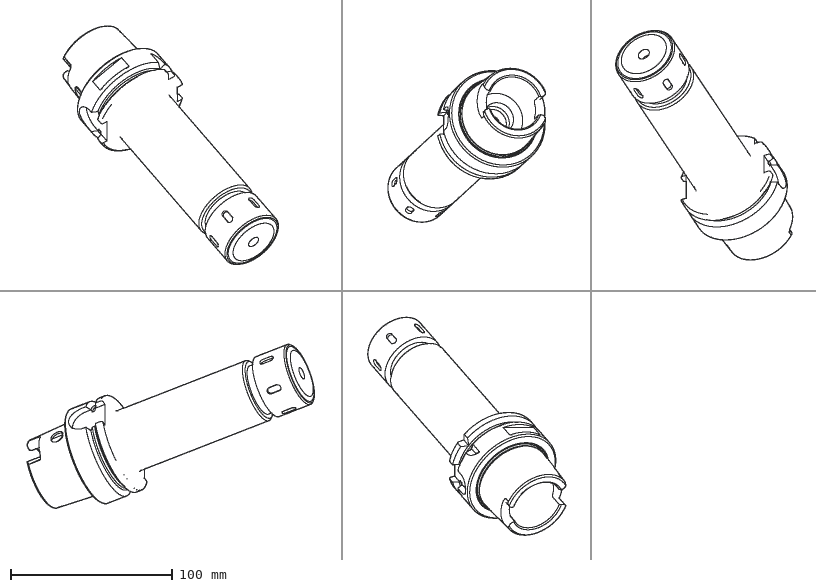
import cadquery as cq
import math

total_length = 182.0

shank_length = 31.8
shank_tip_radius = 22.8
shank_base_radius = 24.4
shank_chamfer = 1.1
relief_start = 30.2
relief_radius = 24.0
relief_step = 0.5
face_groove_radius = 25.8
face_groove_depth = 0.5

flange_end = 57.9
flange_radius = 31.5
flange_chamfer = 1.1
grip_start = 46.5
grip_lip = 0.5
grip_lip_radius = 30.2
grip_floor_start = 49.0
grip_floor_end = 50.6
grip_blend = 1.0
grip_end = 53.1
grip_floor_radius = 27.1

barrel_radius = 20.0
barrel_end = 152.2
barrel_chamfer = 1.3
barrel_fillet = 3.0
neck_radius = 32.2 / 2

bore_radius = 34.0 / 2
bore_entry_chamfer = 1.0
bore_taper_start = 12.2
bore_floor_radius = 32.0 / 2
bore_depth = 31.0
pocket_radius = 19.8 / 2
pocket_floor_radius = 17.0 / 2
pocket_floor_chamfer = 1.5
pocket_depth = 9.1
through_radius = 7.5 / 2

nut_start = 158.0
nut_radius = 20.0
nut_face = 180.9
nut_chamfer = 1.0
nut_cone_radius = 18.2
nut_nose_radius = 30.5 / 2
nut_recess_depth = 18.2
wrench_slot_count = 6
wrench_slot_length = 9.3
wrench_slot_width = 4.0
wrench_slot_center = 167.8
wrench_slot_depth = 1.8

driver_slot_half_width = 6.0
driver_slot_round = 3.3
driver_slot_floor_fillet = 1.5
front_driver_slot_depth = 10.0
rear_driver_slot_depth = 5.5

front_key_radius = 19.0 / 2
front_key_floor = 26.2
rear_key_radius = 14.0 / 2
rear_key_floor = 26.5
key_apex = 35.1
notch_radius = 16.4 / 2
notch_floor = 20.0
notch_bottom = 19.3
notch_apex = 37.3
label_start = 35.3
label_length = 8.4
label_angle = 21.8
label_width = 23.3

side_recess_center = 23.0
side_recess_radius = 8.5 / 2
side_recess_shallow_floor = 23.5
side_recess_deep_floor = 22.2

neck_end = nut_start + nut_recess_depth
edge_margin = 0.2


def holder_blank():
    """Outer shape of the holder, turned about the X axis."""
    fillet_end = flange_end + barrel_fillet
    fillet_top = barrel_radius + barrel_fillet
    relief_end = relief_start + 2 * relief_step
    profile = (
        cq.Workplane("XY")
        .moveTo(0, 0)
        .lineTo(0, shank_tip_radius - shank_chamfer)
        .lineTo(shank_chamfer, shank_tip_radius)
        .lineTo(relief_start, shank_base_radius)
        .lineTo(relief_start + relief_step, relief_radius)
        .lineTo(relief_end, relief_radius)
        .lineTo(shank_length + face_groove_depth, relief_radius + relief_step)
        .lineTo(shank_length + face_groove_depth, face_groove_radius - face_groove_depth)
        .lineTo(shank_length, face_groove_radius)
        .lineTo(shank_length, flange_radius - flange_chamfer)
        .lineTo(shank_length + flange_chamfer, flange_radius)
        .lineTo(grip_start, flange_radius)
        .lineTo(grip_start + grip_lip, grip_lip_radius)
        .lineTo(grip_floor_start - grip_blend, grip_floor_radius + grip_blend)
        .lineTo(grip_floor_start, grip_floor_radius)
        .lineTo(grip_floor_end, grip_floor_radius)
        .lineTo(grip_floor_end + grip_blend, grip_floor_radius + grip_blend)
        .lineTo(grip_end, flange_radius)
        .lineTo(flange_end - flange_chamfer, flange_radius)
        .radiusArc((flange_end, flange_radius - flange_chamfer), flange_chamfer)
        .lineTo(flange_end, fillet_top)
        .radiusArc((fillet_end, barrel_radius), -barrel_fillet)
        .lineTo(barrel_end - barrel_chamfer, barrel_radius)
        .lineTo(barrel_end, barrel_radius - barrel_chamfer)
        .lineTo(barrel_end, neck_radius)
        .lineTo(neck_end, neck_radius)
        .lineTo(neck_end, 0)
        .close()
    )
    return profile.revolve(360, (0, 0, 0), (1, 0, 0))


def holder_bore():
    """Stepped bore of the shank, with the narrow hole that runs on through the neck."""
    pocket_end = bore_depth + pocket_depth
    profile = (
        cq.Workplane("XY")
        .moveTo(0, 0)
        .lineTo(0, bore_radius + bore_entry_chamfer)
        .lineTo(bore_entry_chamfer, bore_radius)
        .lineTo(bore_taper_start, bore_radius)
        .lineTo(bore_depth, bore_floor_radius)
        .lineTo(bore_depth, pocket_radius)
        .lineTo(pocket_end - pocket_floor_chamfer, pocket_radius)
        .lineTo(pocket_end, pocket_floor_radius)
        .lineTo(pocket_end, through_radius)
        .lineTo(neck_end, through_radius)
        .lineTo(neck_end, 0)
        .close()
    )
    return profile.revolve(360, (0, 0, 0), (1, 0, 0))


def driver_slot(side, depth):
    """Slot through the shank wall on one Y side, with walls that flare out to the outer surface."""
    round_center_z = driver_slot_half_width + driver_slot_round
    round_center_y = math.sqrt((shank_tip_radius - driver_slot_round) ** 2 - round_center_z**2)
    flare_scale = shank_tip_radius / (shank_tip_radius - driver_slot_round)
    tangent_y = round_center_y * flare_scale
    tangent_z = round_center_z * flare_scale
    mid_angle = math.atan2(round_center_z, round_center_y) / 2 - math.pi / 4
    mid_y = round_center_y + driver_slot_round * math.cos(mid_angle)
    mid_z = round_center_z + driver_slot_round * math.sin(mid_angle)
    profile = (
        cq.Workplane("YZ")
        .moveTo(0, -driver_slot_half_width)
        .lineTo(side * round_center_y, -driver_slot_half_width)
        .threePointArc((side * mid_y, -mid_z), (side * tangent_y, -tangent_z))
        .lineTo(side * flange_radius, -tangent_z)
        .lineTo(side * flange_radius, tangent_z)
        .lineTo(side * tangent_y, tangent_z)
        .threePointArc((side * mid_y, mid_z), (side * round_center_y, driver_slot_half_width))
        .lineTo(0, driver_slot_half_width)
        .close()
    )
    slot = profile.extrude(depth)
    wall_foot_edges = cq.selectors.BoxSelector(
        (depth - edge_margin, side * edge_margin, -tangent_z),
        (depth + edge_margin, side * (tangent_y - edge_margin), tangent_z),
    )
    return slot.edges(wall_foot_edges).fillet(driver_slot_floor_fillet)


def flange_cutout(side, floor, radius, apex, center_z):
    """U-shaped cutout milled along Y into the flange rim, open toward the barrel."""
    arc_center = apex + radius
    return (
        cq.Workplane("XZ", origin=(0, side * floor, center_z))
        .moveTo(flange_end, -radius)
        .lineTo(arc_center, -radius)
        .threePointArc((apex, 0), (arc_center, radius))
        .lineTo(flange_end, radius)
        .close()
        .extrude(-side * (flange_radius - floor))
    )


def label_flat():
    """Flat across the flange rim, between the shank and the gripper groove."""
    depth_to_flat = math.sqrt(flange_radius**2 - (label_width / 2) ** 2)
    return (
        cq.Workplane("XY")
        .box(label_length, label_width, flange_radius - depth_to_flat, centered=(False, True, False))
        .translate((label_start, 0, depth_to_flat))
        .rotate((0, 0, 0), (1, 0, 0), label_angle)
    )


def shallow_recess():
    """Shallow round recess on the -Y side of the shank."""
    return (
        cq.Workplane("XZ", origin=(side_recess_center, -side_recess_shallow_floor, 0))
        .circle(side_recess_radius)
        .extrude(flange_radius - side_recess_shallow_floor)
    )


def deep_half_recess():
    """Deeper upper half of the side recess, with its straight edge along X."""
    return (
        cq.Workplane("XZ", origin=(side_recess_center, -side_recess_deep_floor, 0))
        .moveTo(-side_recess_radius, 0)
        .threePointArc((0, side_recess_radius), (side_recess_radius, 0))
        .close()
        .extrude(flange_radius - side_recess_deep_floor)
    )


def make_holder():
    """Holder with its shank, flange, barrel and neck in one piece."""
    notch_center_z = notch_bottom + notch_radius
    return (
        holder_blank()
        .cut(holder_bore())
        .cut(driver_slot(-1, front_driver_slot_depth))
        .cut(driver_slot(1, rear_driver_slot_depth))
        .cut(flange_cutout(-1, front_key_floor, front_key_radius, key_apex, 0))
        .cut(flange_cutout(1, rear_key_floor, rear_key_radius, key_apex, 0))
        .cut(flange_cutout(1, notch_floor, notch_radius, notch_apex, notch_center_z))
        .cut(label_flat())
        .cut(deep_half_recess())
        .cut(shallow_recess())
    )


def wrench_slot(angle):
    """Blind rounded slot in the nut rim, at an angle about the X axis."""
    return (
        cq.Workplane("XY", origin=(wrench_slot_center, 0, nut_radius - wrench_slot_depth))
        .slot2D(wrench_slot_length, wrench_slot_width)
        .extrude(2 * wrench_slot_depth)
        .rotate((0, 0, 0), (1, 0, 0), angle)
    )


def make_nut():
    """Clamping nut, a cap over the end of the neck."""
    profile = (
        cq.Workplane("XY")
        .moveTo(nut_start, neck_radius)
        .lineTo(nut_start, nut_radius)
        .lineTo(nut_face - nut_chamfer, nut_radius)
        .lineTo(nut_face, nut_radius - nut_chamfer)
        .lineTo(nut_face, nut_cone_radius)
        .lineTo(total_length, nut_nose_radius)
        .lineTo(total_length, through_radius)
        .lineTo(neck_end, through_radius)
        .lineTo(neck_end, neck_radius)
        .close()
    )
    nut = profile.revolve(360, (0, 0, 0), (1, 0, 0))
    slot_spacing = 360 / wrench_slot_count
    for index in range(wrench_slot_count):
        nut = nut.cut(wrench_slot((index + 0.5) * slot_spacing))
    return nut


holder = make_holder()
nut = make_nut()
result = cq.Compound.makeCompound([holder.solids().val(), nut.solids().val()])